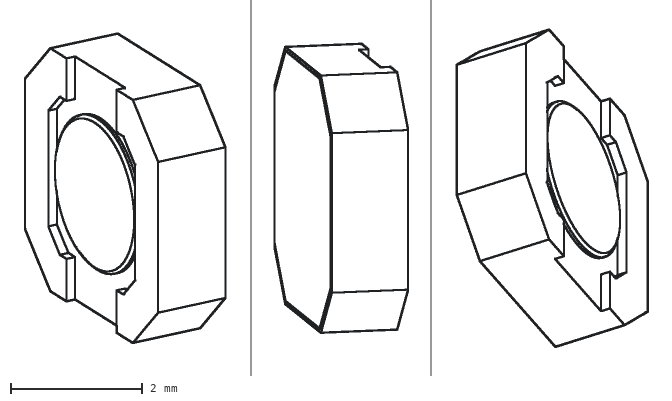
import cadquery as cq

width = 3.98
total_depth = 1.2
corner_cut = 0.755

pad_thickness = 0.01
pad_inset = 0.05
body_depth = total_depth - pad_thickness

recess_depth = 0.15
pocket_width = 2.587
pocket_corner_cut = 0.345
slot_width = 1.5

boss_diameter = 2.475
boss_height = 0.1
boss_chamfer = 0.05


def square_block(size, depth, front_y):
    """Square block in X and Z that starts at front_y and extends toward +Y."""
    return cq.Workplane("XY").box(size, depth, size).translate((0, front_y + depth / 2, 0))


def octagonal_block(size, cut, depth, front_y):
    """Square block whose four corners are cut at 45 degrees."""
    return square_block(size, depth, front_y).edges("|Y").chamfer(cut)


body = octagonal_block(width, corner_cut, body_depth, 0)

pocket = octagonal_block(pocket_width, pocket_corner_cut, recess_depth, 0)
slot = cq.Workplane("XY").box(slot_width, recess_depth, width).translate((0, recess_depth / 2, 0))
body = body.cut(pocket).cut(slot)

boss = (
    cq.Workplane("XZ", origin=(0, recess_depth, 0))
    .circle(boss_diameter / 2)
    .extrude(boss_height)
    .faces("<Y")
    .chamfer(boss_chamfer)
)

pad = octagonal_block(width - 2 * pad_inset, corner_cut, pad_thickness, body_depth)

result = body.union(boss).union(pad)